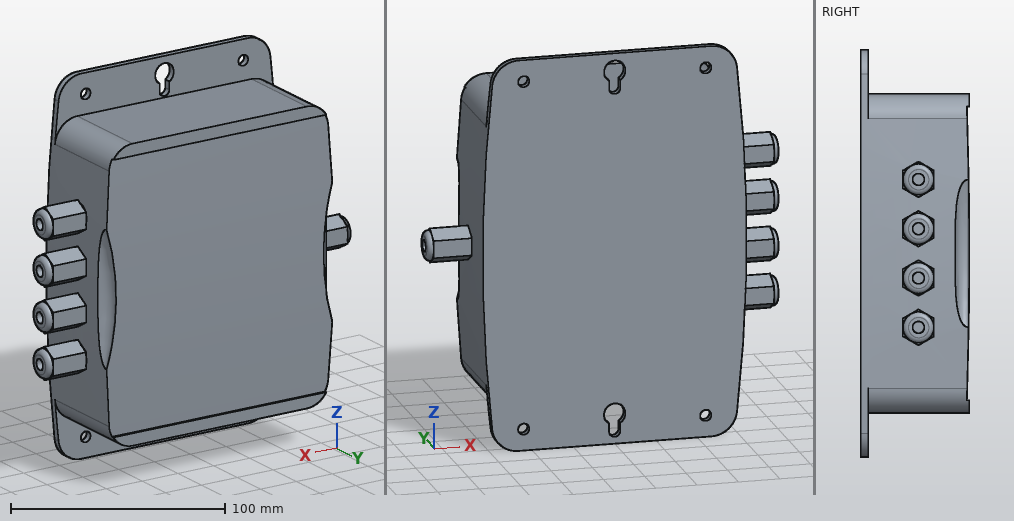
import cadquery as cq
import math


HALF_WIDTH = 63.8
SIDE_RADIUS = 762.0
CORNER_RADIUS = 12.5

PLATE_HALF_HEIGHT = 95.2
PLATE_THICKNESS = 3.6
MOUNT_HOLE_DIAMETER = 5.3
MOUNT_HOLE_X = 44.0
MOUNT_HOLE_Z = 84.8
KEY_HEAD_DIAMETER = 10.3
KEY_SLOT_WIDTH = 5.3
KEY_SLOT_DROP = 8.4
KEY_HEAD_HEIGHTS = (86.5, -80.8)

BOX_HALF_HEIGHT = 74.7
DEPTH = 50.9
BACK_HALF_SPAN = 68.5
BACK_STEP = 1.1

SCOOP_RADIUS = 6.0
SCOOP_PATH_RADIUS = 112.4
SCOOP_WALL_HEIGHT = 0.8

GLAND_Y = 27.0
HEX_FLATS = 14.5
HEX_LENGTH = 18.5
TIP_TO_TIP = 170.1
DOME_LENGTH = TIP_TO_TIP / 2 - HALF_WIDTH - HEX_LENGTH
DOME_FILLET = 2.5
BORE_DIAMETER = 5.5
NECK_DIAMETER = 12.8
NECK_LENGTH = 4.8
GLAND_PITCH = 23.0
RIGHT_GLAND_COUNT = 4

LEFT_GLAND_HEIGHTS = (0.0,)
RIGHT_GLAND_HEIGHTS = tuple(
    GLAND_PITCH * (i - (RIGHT_GLAND_COUNT - 1) / 2) for i in range(RIGHT_GLAND_COUNT)
)
GLAND_PLACES = [(-1, z) for z in LEFT_GLAND_HEIGHTS] + [(1, z) for z in RIGHT_GLAND_HEIGHTS]


def xz_plane(y):
    """Sketch plane at depth y, with local axes X and Z; extruding positive runs toward -Y."""
    return cq.Workplane("XZ", origin=(0, y, 0))


def bulged_slab(half_height, depth):
    """Slab from Y = 0 to depth with straight ends, bulged sides and rounded corners."""
    side_drop = SIDE_RADIUS - math.sqrt(SIDE_RADIUS**2 - half_height**2)
    end_x = HALF_WIDTH - side_drop
    return (
        xz_plane(0)
        .moveTo(-end_x, -half_height)
        .lineTo(end_x, -half_height)
        .threePointArc((HALF_WIDTH, 0), (end_x, half_height))
        .lineTo(-end_x, half_height)
        .threePointArc((-HALF_WIDTH, 0), (-end_x, -half_height))
        .close()
        .extrude(-depth)
        .edges("|Y")
        .fillet(CORNER_RADIUS)
    )


def mounting_holes():
    """Four round screw holes near the plate corners."""
    return (
        xz_plane(0)
        .rect(2 * MOUNT_HOLE_X, 2 * MOUNT_HOLE_Z, forConstruction=True)
        .vertices()
        .circle(MOUNT_HOLE_DIAMETER / 2)
        .extrude(-PLATE_THICKNESS)
    )


def keyhole(head_z):
    """Round screw-head opening with a narrow round-ended slot hanging below it."""
    head = xz_plane(0).center(0, head_z).circle(KEY_HEAD_DIAMETER / 2).extrude(-PLATE_THICKNESS)
    slot = (
        xz_plane(0)
        .center(0, head_z - KEY_SLOT_DROP / 2)
        .slot2D(KEY_SLOT_DROP + KEY_SLOT_WIDTH, KEY_SLOT_WIDTH, 90)
        .extrude(-PLATE_THICKNESS)
    )
    return head.union(slot)


def back_crown_cut():
    """Material above the crowned back, which meets full depth only at mid height."""
    low_y = DEPTH - BACK_STEP
    return (
        cq.Workplane("YZ", origin=(-HALF_WIDTH, 0, 0))
        .moveTo(low_y, -BACK_HALF_SPAN)
        .threePointArc((DEPTH, 0), (low_y, BACK_HALF_SPAN))
        .lineTo(DEPTH + BACK_STEP, BACK_HALF_SPAN)
        .lineTo(DEPTH + BACK_STEP, -BACK_HALF_SPAN)
        .close()
        .extrude(2 * HALF_WIDTH)
    )


def scoop(side):
    """Curved trough along one long back edge: a half-round floor with straight walls above it."""
    ring_center_x = side * (HALF_WIDTH + SCOOP_PATH_RADIUS)
    edge_x = side * HALF_WIDTH
    floor_center_y = DEPTH - SCOOP_WALL_HEIGHT
    return (
        cq.Workplane("XY")
        .moveTo(edge_x - SCOOP_RADIUS, DEPTH)
        .lineTo(edge_x - SCOOP_RADIUS, floor_center_y)
        .threePointArc((edge_x, floor_center_y - SCOOP_RADIUS), (edge_x + SCOOP_RADIUS, floor_center_y))
        .lineTo(edge_x + SCOOP_RADIUS, DEPTH)
        .close()
        .revolve(360, (ring_center_x, 0, 0), (ring_center_x, 1, 0))
    )


def gland_neck(side, z):
    """Round neck of a gland, which is also the shape of its recess in the wall."""
    return (
        cq.Workplane("YZ", origin=(side * HALF_WIDTH, GLAND_Y, z))
        .circle(NECK_DIAMETER / 2)
        .extrude(-side * NECK_LENGTH)
    )


def make_housing():
    """Box and mounting plate in one piece, with a recess for every gland neck."""
    body = bulged_slab(BOX_HALF_HEIGHT, DEPTH).cut(back_crown_cut())
    for side in (-1, 1):
        body = body.cut(scoop(side))
    body = body.union(bulged_slab(PLATE_HALF_HEIGHT, PLATE_THICKNESS))
    body = body.cut(mounting_holes())
    for head_z in KEY_HEAD_HEIGHTS:
        body = body.cut(keyhole(head_z))
    for side, z in GLAND_PLACES:
        body = body.cut(gland_neck(side, z))
    return body.solids()


def make_gland(side, z):
    """Hexagonal cable gland with a rounded tip, a neck and a bore right through it."""
    hex_corners = HEX_FLATS / math.cos(math.pi / 6)
    total_length = NECK_LENGTH + HEX_LENGTH + DOME_LENGTH
    hex_start = cq.Workplane("YZ", origin=(side * HALF_WIDTH, GLAND_Y, z))
    hex_end = cq.Workplane("YZ", origin=(side * (HALF_WIDTH + HEX_LENGTH), GLAND_Y, z))
    neck_end = cq.Workplane("YZ", origin=(side * (HALF_WIDTH - NECK_LENGTH), GLAND_Y, z))

    nut = hex_start.transformed(rotate=(0, 0, 90)).polygon(6, hex_corners).extrude(side * HEX_LENGTH)
    dome = hex_end.circle(HEX_FLATS / 2).extrude(side * DOME_LENGTH)
    dome = dome.faces(">X" if side > 0 else "<X").edges().fillet(DOME_FILLET)
    bore = neck_end.circle(BORE_DIAMETER / 2).extrude(side * total_length)
    return nut.union(dome).union(gland_neck(side, z)).cut(bore).solids()


housing = make_housing()
glands = [make_gland(side, z) for side, z in GLAND_PLACES]

result = cq.Compound.makeCompound([housing.val(), *[gland.val() for gland in glands]])